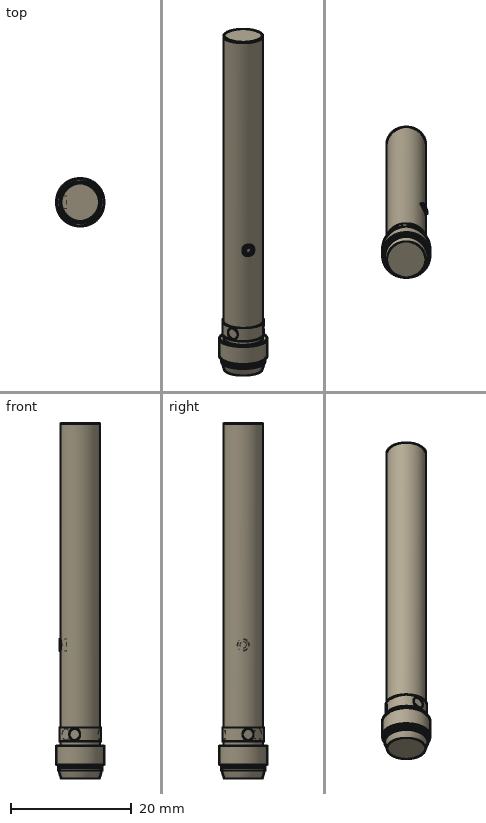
import cadquery as cq

total_height = 59.0

tube_radius = 3.3
band_radius = 3.5
neck_radius = 3.3
collar_radius = 4.0
groove_radius = 3.35
flange_radius = 3.65
lip_radius = 3.65
nose_top_radius = 3.55
nose_mid_radius = 3.4
nose_end_radius = 3.2

flange_bottom = 1.35
flange_top = 1.7
lip_bottom = 2.0
collar_bottom = 2.25
collar_top = 5.5
band_bottom = 6.15
band_top = 8.5

collar_chamfer = 0.1
tube_end_chamfer = 0.2
band_chamfer = 0.05

window_count = 3
window_radius = 0.95
window_z = (band_bottom + band_top) / 2
window_face_distance = 3.3
first_window_angle = 14

screw_radius = 1.0
screw_z = 22.2
screw_face_distance = 3.5
screw_depth = 1.2
screw_rim_chamfer = 0.1
socket_radius = 0.55
socket_depth = 0.2


def make_turned_housing():
    """Solid of revolution: nose, flange, groove, lip, collar, neck, band and tube."""
    return (
        cq.Workplane("XZ")
        .lineTo(nose_end_radius, 0)
        .threePointArc((nose_mid_radius, flange_bottom / 2), (nose_top_radius, flange_bottom))
        .lineTo(flange_radius, flange_bottom)
        .lineTo(flange_radius, flange_top)
        .lineTo(groove_radius, flange_top)
        .lineTo(groove_radius, lip_bottom)
        .lineTo(lip_radius, lip_bottom)
        .lineTo(lip_radius, collar_bottom)
        .lineTo(collar_radius - collar_chamfer, collar_bottom)
        .lineTo(collar_radius, collar_bottom + collar_chamfer)
        .lineTo(collar_radius, collar_top - collar_chamfer)
        .lineTo(collar_radius - collar_chamfer, collar_top)
        .lineTo(neck_radius, collar_top)
        .lineTo(neck_radius, band_bottom)
        .lineTo(band_radius - band_chamfer, band_bottom)
        .lineTo(band_radius, band_bottom + band_chamfer)
        .lineTo(band_radius, band_top)
        .lineTo(tube_radius, band_top)
        .lineTo(tube_radius, total_height - tube_end_chamfer)
        .lineTo(tube_radius - tube_end_chamfer, total_height)
        .lineTo(0, total_height)
        .close()
        .revolve(360, (0, 0, 0), (0, 1, 0))
    )


def cut_windows(body):
    """Cut the flat-bottomed round windows, evenly spaced around the band."""
    cutter = (
        cq.Workplane("YZ", origin=(window_face_distance, 0, window_z))
        .circle(window_radius)
        .extrude(collar_radius - window_face_distance)
    )
    for index in range(window_count):
        angle = first_window_angle + index * 360 / window_count
        body = body.cut(cutter.rotate((0, 0, 0), (0, 0, 1), angle))
    return body


def make_screw_blank():
    """Plain cylinder of the screw, which also shapes its hole in the tube."""
    return (
        cq.Workplane("YZ", origin=(-screw_face_distance, 0, screw_z))
        .circle(screw_radius)
        .extrude(screw_depth)
    )


def make_screw():
    """Screw with a chamfered rim and a round blind socket in its outer face."""
    return (
        make_screw_blank()
        .faces("<X")
        .chamfer(screw_rim_chamfer)
        .faces("<X")
        .workplane()
        .hole(2 * socket_radius, socket_depth)
    )


housing = cut_windows(make_turned_housing()).cut(make_screw_blank())
screw = make_screw()

result = cq.Compound.makeCompound([housing.val(), screw.val()])